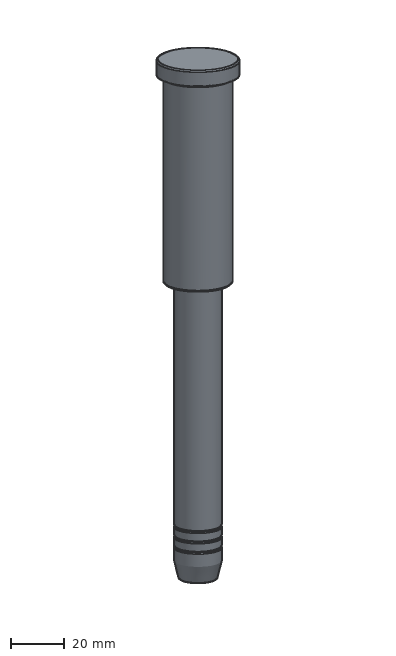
import cadquery as cq

total_length = 201.0

head_radius = 15.5
head_height = 6.0
head_chamfer = 0.6

body_radius = 26.0 / 2
body_end_depth = 86.6
body_chamfer = 0.8

neck_depth = 0.5
neck_width = 1.2

shaft_radius = 17.9 / 2

tip_radius = 7.2
tip_height = 7.0
tip_chamfer = 0.5

groove_count = 3
groove_pitch = 4.0
groove_width = 1.0
groove_depth = 0.5
lowest_groove_height = 12.5


def cylinder(radius, bottom, top):
    return cq.Workplane("XY").workplane(offset=bottom).circle(radius).extrude(top - bottom)


def vee_groove(surface_radius, depth, width, centre_height):
    """Ring of triangular section whose point reaches depth below the surface."""
    return (
        cq.Workplane("XZ")
        .moveTo(surface_radius, centre_height - width / 2)
        .lineTo(surface_radius - depth, centre_height)
        .lineTo(surface_radius, centre_height + width / 2)
        .close()
        .revolve(360, (0, 0, 0), (0, 1, 0))
    )


head_bottom = total_length - head_height
body_bottom = total_length - body_end_depth

head = cylinder(head_radius, head_bottom, total_length).faces(">Z").chamfer(head_chamfer)
body = cylinder(body_radius, body_bottom, head_bottom).faces("<Z").chamfer(body_chamfer)
shaft = cylinder(shaft_radius, tip_height, body_bottom)

tip = (
    cq.Workplane("XY")
    .circle(tip_radius)
    .workplane(offset=tip_height)
    .circle(shaft_radius)
    .loft(ruled=True)
    .faces("<Z")
    .chamfer(tip_chamfer)
)

result = head.union(body).union(shaft).union(tip)

neck_centre = head_bottom - neck_width / 2
result = result.cut(vee_groove(body_radius, neck_depth, neck_width, neck_centre))

for index in range(groove_count):
    groove_centre = lowest_groove_height + index * groove_pitch
    result = result.cut(vee_groove(shaft_radius, groove_depth, groove_width, groove_centre))